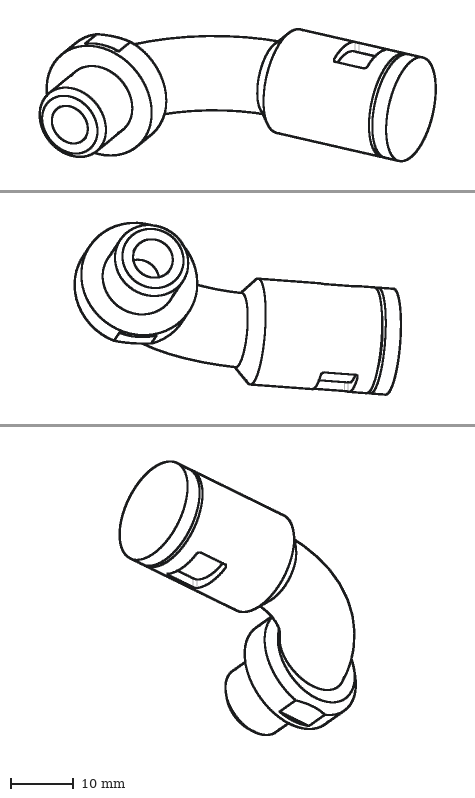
import cadquery as cq
import math


STUD_DIAMETER = 12.0
STUD_LENGTH = 10.0
STUD_CHAMFER = 1.0
BORE_DIAMETER = 6.5
BORE_DEPTH = STUD_LENGTH

FLANGE_DIAMETER = 19.0
FLANGE_THICKNESS = 6.5
FLANGE_CHAMFER = 1.5
FLANGE_RIM = 1.0
FLANGE_ACROSS_FLATS = 18.0

OVERALL_LENGTH = 55.0
OVERALL_WIDTH = 39.0
BODY_DIAMETER = 17.0
CONE_LENGTH = 3.0
BODY_LENGTH = 25.15
RING_LENGTH = 2.5
GROOVE_WIDTH = 0.6
GROOVE_DIAMETER = 12.5

BODY_END_X = OVERALL_LENGTH - FLANGE_DIAMETER / 2
BODY_START_X = BODY_END_X - BODY_LENGTH
BODY_AXIS_Y = OVERALL_WIDTH - STUD_LENGTH - BODY_DIAMETER / 2

RECESS_LENGTH = 6.0
RECESS_WIDTH = 8.0
RECESS_DEPTH = 1.5
RECESS_CORNER_RADIUS = 0.5
RECESS_TO_BODY_END = 9.0
RECESS_CENTER_X = BODY_END_X - RECESS_TO_BODY_END

TUBE_DIAMETER = 11.9
BEND_RADIUS = 25.4
BEND_END_X = BODY_START_X + CONE_LENGTH
BEND_START_Y = FLANGE_THICKNESS / 2
BEND_DROP = BODY_AXIS_Y - BEND_START_Y
BEND_ANGLE = math.degrees(math.acos(1 - BEND_DROP / BEND_RADIUS))


def make_stud():
    """Chamfered stud running from the flange seat toward -Y."""
    stud = cq.Workplane("XZ").circle(STUD_DIAMETER / 2).extrude(STUD_LENGTH)
    return stud.faces("<Y").chamfer(STUD_CHAMFER)


def make_flange():
    """Round flange with a chamfered tube-side edge and two flats facing +Z and -Z."""
    flange = cq.Workplane("XZ").circle(FLANGE_DIAMETER / 2).extrude(-FLANGE_THICKNESS)
    flange = flange.faces(">Y").chamfer(FLANGE_CHAMFER)
    rim = cq.Workplane("XZ").circle(FLANGE_DIAMETER / 2).extrude(-FLANGE_RIM)
    slab = cq.Workplane("XY").box(FLANGE_DIAMETER, 2 * FLANGE_THICKNESS, FLANGE_ACROSS_FLATS)
    return flange.intersect(slab).union(rim)


def make_tube():
    """Bent tube that rises out of the flange and ends tangent to the body axis."""
    return (
        cq.Workplane("YZ", origin=(BEND_END_X, BODY_AXIS_Y, 0))
        .circle(TUBE_DIAMETER / 2)
        .revolve(BEND_ANGLE, (-BEND_RADIUS, 0, 0), (-BEND_RADIUS, 1, 0))
    )


def make_body():
    """Socket body turned about the X direction: cone, cylinder, groove and end ring."""
    body_radius = BODY_DIAMETER / 2
    groove_radius = GROOVE_DIAMETER / 2
    ring_x = BODY_END_X - RING_LENGTH
    groove_x = ring_x - GROOVE_WIDTH
    return (
        cq.Workplane("XY", origin=(0, BODY_AXIS_Y, 0))
        .moveTo(BODY_START_X, 0)
        .lineTo(BODY_START_X, body_radius - CONE_LENGTH)
        .lineTo(BODY_START_X + CONE_LENGTH, body_radius)
        .lineTo(groove_x, body_radius)
        .lineTo(groove_x, groove_radius)
        .lineTo(ring_x, groove_radius)
        .lineTo(ring_x, body_radius)
        .lineTo(BODY_END_X, body_radius)
        .lineTo(BODY_END_X, 0)
        .close()
        .revolve(360, (0, 0, 0), (1, 0, 0))
    )


def make_recesses():
    """Rounded rectangular cutters with a floor concentric to the body, above and below."""
    cutter = (
        cq.Workplane("XY", origin=(RECESS_CENTER_X, BODY_AXIS_Y, 0))
        .box(RECESS_LENGTH, RECESS_WIDTH, 2 * BODY_DIAMETER)
        .edges("|Z")
        .fillet(RECESS_CORNER_RADIUS)
    )
    core = (
        cq.Workplane("YZ", origin=(BODY_START_X, BODY_AXIS_Y, 0))
        .circle(BODY_DIAMETER / 2 - RECESS_DEPTH)
        .extrude(BODY_LENGTH)
    )
    return cutter.cut(core)


def make_bore():
    """Blind bore entering from the free end of the stud."""
    return (
        cq.Workplane("XZ", origin=(0, -STUD_LENGTH, 0))
        .circle(BORE_DIAMETER / 2)
        .extrude(-BORE_DEPTH)
    )


body = make_body().cut(make_recesses())
fitting = make_stud().union(make_flange()).union(make_tube()).union(body)
result = fitting.cut(make_bore())